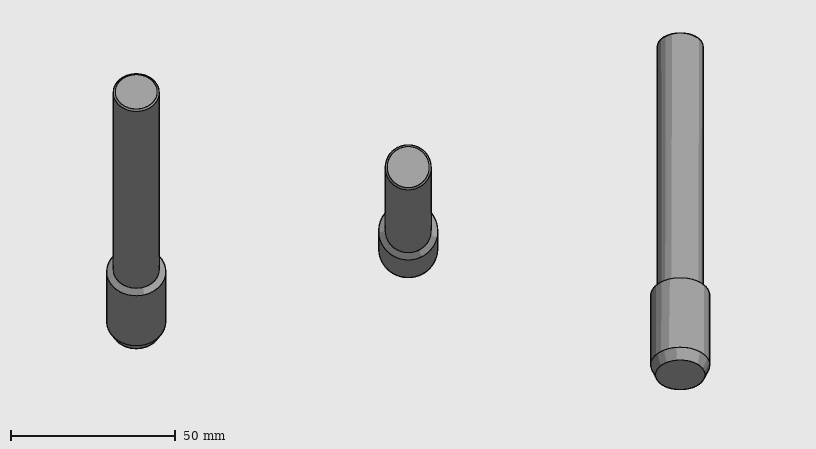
import cadquery as cq

total_length = 125.0

head_diameter = 18.0
head_length = 31.2
tip_diameter = 15.0
tip_taper_height = 3.8
shoulder_height = 1.1

rod_diameter = 14.0
rod_end_inset = 0.6
rod_end_height = 0.4


def revolved(profile):
    """Turn a closed (radius, z) outline about the Z axis."""
    return cq.Workplane("XZ").polyline(profile).close().revolve(360, (0, 0, 0), (0, 1, 0))


def make_head():
    """Head with a tapered tip and a conical shoulder that narrows to the rod."""
    head_radius = head_diameter / 2
    return revolved([
        (0, 0),
        (tip_diameter / 2, 0),
        (head_radius, tip_taper_height),
        (head_radius, head_length - shoulder_height),
        (rod_diameter / 2, head_length),
        (0, head_length),
    ])


def make_rod():
    """Plain rod resting on the head, with a shallow chamfer on its free end."""
    rod_radius = rod_diameter / 2
    return revolved([
        (0, head_length),
        (rod_radius, head_length),
        (rod_radius, total_length - rod_end_height),
        (rod_radius - rod_end_inset, total_length),
        (0, total_length),
    ])


head = make_head()
rod = make_rod()

result = cq.Compound.makeCompound([head.val(), rod.val()])